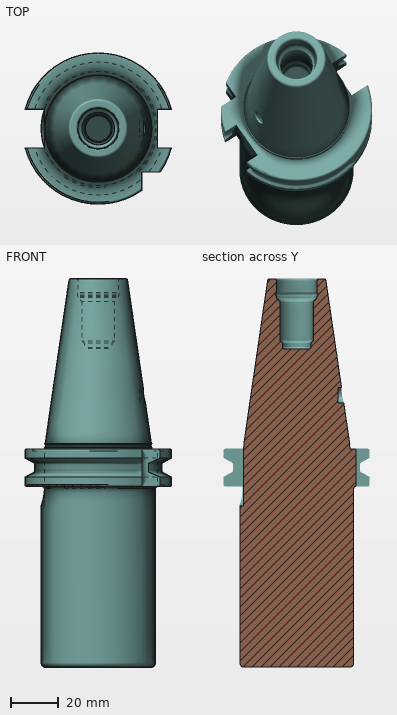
import cadquery as cq
import math

total_height = 163.4
gauge_z = 95.0
flange_top_z = 91.8
flange_bottom_z = 76.0
flange_height = flange_top_z - flange_bottom_z

body_radius = 24.0
body_end_fillet = 2.0
neck_fillet = 0.8

flange_radius = 63.5 / 2
flange_edge_fillet = 0.8
groove_mid_z = 84.0
groove_root_radius = 28.0
groove_root_width = 3.6
groove_root_fillet = 0.7
groove_flank_angle = 30.0

collar_radius = 22.5
collar_top_z = 94.1
relief_bottom_z = 92.5

relief_depth = 0.3
relief_flank = 0.5

gauge_radius = 22.2
taper_slope = 7 / 48
taper_end_fillet = 1.0
taper_base_radius = gauge_radius + (gauge_z - collar_top_z) * taper_slope
taper_end_radius = gauge_radius - (total_height - gauge_z) * taper_slope

slot_width = 16.2
left_slot_floor = 22.5
right_slot_floor = 25.0
slot_overrun = 1.6
notch_offset = 18.3

mouth_fillet = 1.0
pilot_radius = 8.5
pilot_depth = 8.0
ring_groove_start = 5.9
ring_groove_end = 7.5
thread_radius = 6.9
thread_cone_end = 9.6
thread_depth = 26.1
core_radius = 5.9
core_depth = 29.4
core_floor_chamfer = 0.5

pocket_radius = 3.1
pocket_z = 114.4
pocket_depth = 2.0


def revolve_profile(points):
    """Turn a closed (radius, z) outline about the Z axis."""
    return cq.Workplane("XZ").polyline(points).close().revolve(360, (0, 0, 0), (0, 1, 0))


def relief_points(radius, bottom_z, top_z, depth):
    """Trapezoid dip in a wall from bottom to top; a positive depth goes outwards."""
    return [
        (radius, bottom_z),
        (radius + depth, bottom_z + relief_flank),
        (radius + depth, top_z - relief_flank),
        (radius, top_z),
    ]


def make_body():
    body = cq.Workplane("XY").circle(body_radius).extrude(flange_bottom_z)
    return body.faces("<Z").edges().fillet(body_end_fillet)


def make_neck():
    """Concave fillet ring joining the body to the underside of the flange."""
    ring = (
        cq.Workplane("XZ")
        .moveTo(0, flange_bottom_z)
        .lineTo(body_radius + neck_fillet, flange_bottom_z)
        .radiusArc((body_radius, flange_bottom_z - neck_fillet), -neck_fillet)
        .lineTo(0, flange_bottom_z - neck_fillet)
        .close()
    )
    return ring.revolve(360, (0, 0, 0), (0, 1, 0))


def make_flange():
    flange = (
        cq.Workplane("XY")
        .workplane(offset=flange_bottom_z)
        .circle(flange_radius)
        .extrude(flange_height)
        .edges()
        .fillet(flange_edge_fillet)
    )
    half_root = groove_root_width / 2
    flank_rise = (flange_radius - groove_root_radius) * math.tan(math.radians(groove_flank_angle))
    half_mouth = half_root + flank_rise
    groove = revolve_profile([
        (groove_root_radius, groove_mid_z - half_root),
        (flange_radius, groove_mid_z - half_mouth),
        (flange_radius, groove_mid_z + half_mouth),
        (groove_root_radius, groove_mid_z + half_root),
    ])
    root_edges = cq.selectors.RadiusNthSelector(0)
    return flange.cut(groove.edges(root_edges).fillet(groove_root_fillet))


def make_collar():
    relief = relief_points(collar_radius, relief_bottom_z, collar_top_z, -relief_depth)
    return revolve_profile([
        (0, flange_top_z),
        (collar_radius, flange_top_z),
        *relief,
        (0, collar_top_z),
    ])


def make_taper():
    taper = revolve_profile([
        (0, collar_top_z),
        (taper_base_radius, collar_top_z),
        (taper_end_radius, total_height),
        (0, total_height),
    ])
    return taper.faces(">Z").edges().fillet(taper_end_fillet)


def make_drive_slot(side, floor):
    """Round-ended slot cutter on the given X side (+1 or -1), open towards the taper."""
    reach = flange_radius - floor + slot_overrun
    straight = cq.Workplane("XY").box(reach, slot_width, flange_height, centered=(True, True, False))
    round_end = cq.Workplane("YZ").circle(slot_width / 2).extrude(reach / 2, both=True)
    return straight.union(round_end).translate((side * (floor + reach / 2), 0, flange_bottom_z))


def make_notch():
    block = cq.Workplane("XY").box(flange_radius, flange_radius, flange_height, centered=False)
    return block.translate((notch_offset, -notch_offset - flange_radius, flange_bottom_z))


def make_socket():
    ring_groove = relief_points(
        pilot_radius,
        total_height - ring_groove_end,
        total_height - ring_groove_start,
        relief_depth,
    )
    thread_end_z = total_height - thread_depth
    floor_z = total_height - core_depth
    return revolve_profile([
        (0, floor_z),
        (core_radius - core_floor_chamfer, floor_z),
        (core_radius, floor_z + core_floor_chamfer),
        (core_radius, thread_end_z - (thread_radius - core_radius)),
        (thread_radius, thread_end_z),
        (thread_radius, total_height - thread_cone_end),
        (pilot_radius, total_height - pilot_depth),
        *ring_groove,
        (pilot_radius, total_height),
        (0, total_height),
    ])


def make_pocket():
    floor_x = gauge_radius - (pocket_z - gauge_z) * taper_slope - pocket_depth
    return (
        cq.Workplane("YZ")
        .workplane(offset=floor_x)
        .center(0, pocket_z)
        .circle(pocket_radius)
        .extrude(gauge_radius - floor_x)
    )


def round_socket_mouth(part):
    mouth_edge = part.faces(">Z").edges(cq.selectors.RadiusNthSelector(0))
    return mouth_edge.fillet(mouth_fillet)


solid_form = make_body().union(make_neck()).union(make_flange()).union(make_collar()).union(make_taper())

slotted_form = (
    solid_form
    .cut(make_drive_slot(-1, left_slot_floor))
    .cut(make_drive_slot(1, right_slot_floor))
    .cut(make_notch())
)

result = round_socket_mouth(slotted_form.cut(make_socket())).cut(make_pocket())